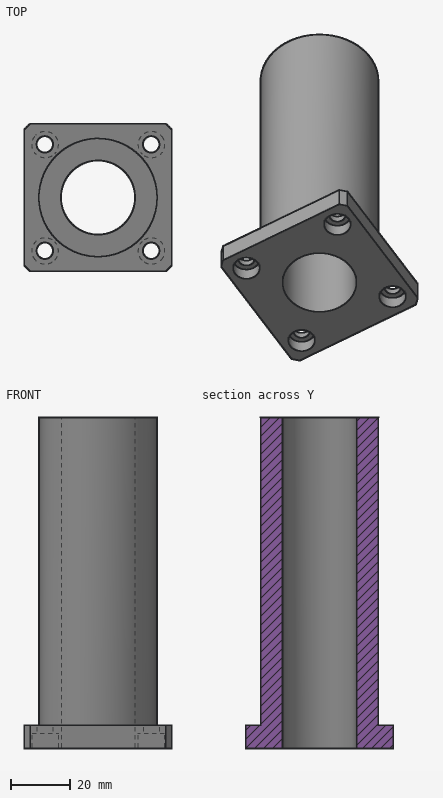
import cadquery as cq

total_height = 112.0
flange_side = 50.0
flange_thickness = 8.0
corner_chamfer = 2.0

tube_diameter = 40.0
bore_diameter = 25.0

hole_spacing = 36.0
hole_diameter = 5.5
counterbore_diameter = 9.0
counterbore_depth = 5.2


def make_flange():
    """Square plate with its base on Z = 0 and chamfered vertical corners."""
    plate = cq.Workplane("XY").rect(flange_side, flange_side).extrude(flange_thickness)
    return plate.edges("|Z").chamfer(corner_chamfer)


def make_tube_body():
    """Solid cylinder running the full height of the part."""
    return cq.Workplane("XY").circle(tube_diameter / 2).extrude(total_height)


def make_bore():
    """Central through bore."""
    return cq.Workplane("XY").circle(bore_diameter / 2).extrude(total_height)


def make_mounting_holes():
    """Four through holes near the flange corners, counterbored from below."""
    corners = cq.Workplane("XY").rect(hole_spacing, hole_spacing, forConstruction=True).vertices()
    holes = corners.circle(hole_diameter / 2).extrude(flange_thickness)
    counterbores = corners.circle(counterbore_diameter / 2).extrude(counterbore_depth)
    return holes.union(counterbores)


result = make_flange().union(make_tube_body()).cut(make_bore()).cut(make_mounting_holes())